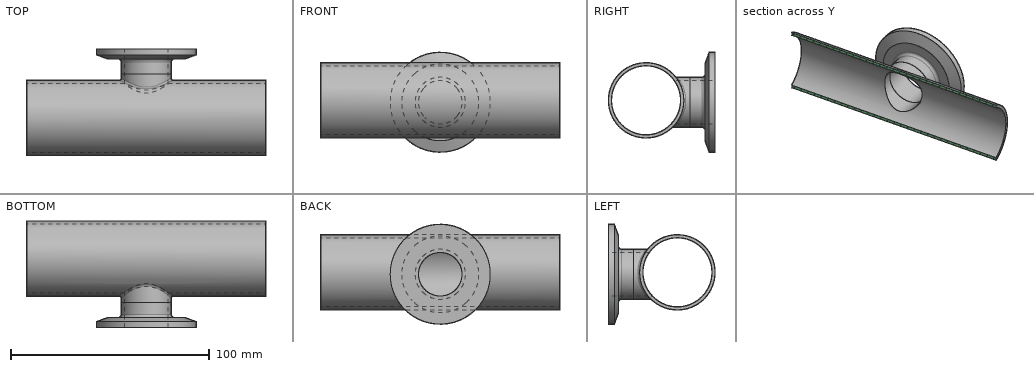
import cadquery as cq

run_length = 120.6
run_radius = 19.0
run_axis_z = 1.0
wall = 1.7
run_bore_radius = run_radius - wall

branch_radius = 12.7
branch_bore_radius = branch_radius - wall
junction_fillet = 1.0
junction_margin = 1.2

face_y = 34.9
ferrule_length = 12.7
weld_y = face_y - ferrule_length
flange_diameter = 50.5
flange_radius = flange_diameter / 2
rim_thickness = 3.0
flange_thickness = 5.2
flange_back_radius = 19.4
neck_fillet = 1.5


def run_cylinder(radius):
    """Solid cylinder along X over the full length of the run."""
    return cq.Workplane("YZ").center(0, run_axis_z).circle(radius).extrude(run_length / 2, both=True)


def branch_cylinder(radius, end_y):
    """Solid cylinder along +Y from y = 0 to end_y."""
    return cq.Workplane("XZ").circle(radius).extrude(-end_y)


def make_tee():
    """Run tube with a short branch, blended outside and open inside."""
    run = run_cylinder(run_radius)
    outside = run.union(branch_cylinder(branch_radius, weld_y))

    reach = branch_radius + junction_margin
    far_corner = (reach, run_radius + junction_margin, reach)
    junction = cq.selectors.BoxSelector((-reach, 0, -reach), far_corner, boundingbox=True)
    outside = outside.edges(junction).fillet(junction_fillet)

    return outside.cut(run_cylinder(run_bore_radius)).cut(branch_cylinder(branch_bore_radius, weld_y))


def make_ferrule():
    """Flanged ring with a tapered back and a filleted neck, revolved about Y."""
    rim_y = face_y - rim_thickness
    back_y = face_y - flange_thickness
    fillet_center = (branch_radius + neck_fillet, back_y - neck_fillet)
    fillet_leg = neck_fillet * 0.5 ** 0.5
    fillet_middle = (fillet_center[0] - fillet_leg, fillet_center[1] + fillet_leg)
    profile = (
        cq.Workplane("XY")
        .moveTo(branch_bore_radius, weld_y)
        .lineTo(branch_radius, weld_y)
        .lineTo(branch_radius, fillet_center[1])
        .threePointArc(fillet_middle, (fillet_center[0], back_y))
        .lineTo(flange_back_radius, back_y)
        .lineTo(flange_radius, rim_y)
        .lineTo(flange_radius, face_y)
        .lineTo(branch_bore_radius, face_y)
        .close()
    )
    return profile.revolve(360, (0, 0, 0), (0, 1, 0))


tee = make_tee()
ferrule = make_ferrule()

result = cq.Compound.makeCompound([tee.val(), ferrule.val()])